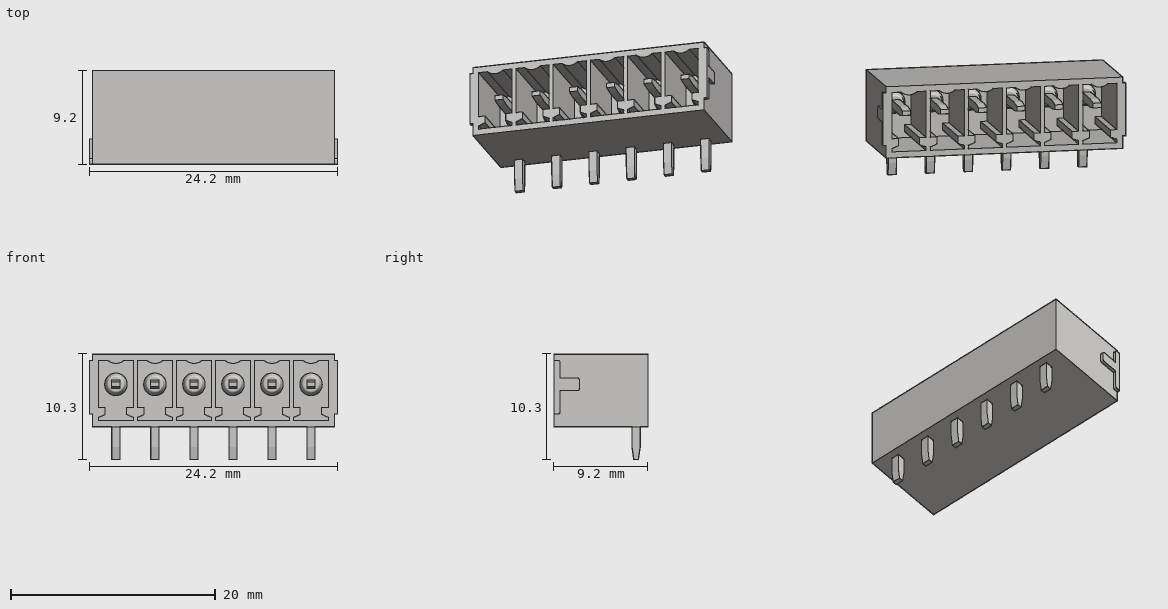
import cadquery as cq

CONTACTS = 6
PITCH = 3.81

BODY_WIDTH = 23.65
BODY_DEPTH = 9.2
BODY_HEIGHT = 7.1
AXIS_Z = BODY_HEIGHT - 2.95

WALL = 0.6
POCKET_WIDTH = 3.4
POCKET_DEPTH = 7.0
POCKET_TOP = BODY_HEIGHT - WALL
KEY_WIDTH = 1.6
KEY_DROP = 0.3
RIB_REACH = 0.65
RIB_TOP = 1.9
RIB_EDGE_BOTTOM = 1.2
RIB_ROOT_BOTTOM = 0.93

BOSS_BASE_RADIUS = 1.1
BOSS_SHOULDER_RADIUS = 0.87
BOSS_TOP_RADIUS = 0.67
BOSS_CONE_LENGTH = 0.6
BOSS_ROUNDING = BOSS_SHOULDER_RADIUS - BOSS_TOP_RADIUS
BOSS_LENGTH = BOSS_CONE_LENGTH + BOSS_ROUNDING

RAIL_THICKNESS = 0.3
RAIL_BAR_DEPTH = 0.6
RAIL_TOP = BODY_HEIGHT - 0.6
RAIL_BOTTOM = RAIL_TOP - 5.25
RAIL_ARM_LENGTH = 2.5
RAIL_ARM_HEIGHT = 1.25
RAIL_ROUNDING = 0.2

PIN_SIZE = 0.82
PIN_TIP_SIZE = 0.46
PIN_TAPER_LENGTH = 1.2
PIN_TIP_Y = 1.2
TAIL_Y = BODY_DEPTH - 1.17
TAIL_LENGTH = 3.2

contact_xs = [(i - (CONTACTS - 1) / 2) * PITCH for i in range(CONTACTS)]


def make_pin(x):
    """L-shaped pin: contact along Y, tail along -Z, both ends tapered on two sides."""
    half = PIN_SIZE / 2
    half_tip = PIN_TIP_SIZE / 2
    contact_taper_y = PIN_TIP_Y + PIN_TAPER_LENGTH
    tail_taper_z = PIN_TAPER_LENGTH - TAIL_LENGTH
    return (
        cq.Workplane("YZ", origin=(x - half, 0, 0))
        .moveTo(PIN_TIP_Y, AXIS_Z + half_tip)
        .lineTo(contact_taper_y, AXIS_Z + half)
        .lineTo(TAIL_Y + half, AXIS_Z + half)
        .lineTo(TAIL_Y + half, tail_taper_z)
        .lineTo(TAIL_Y + half_tip, -TAIL_LENGTH)
        .lineTo(TAIL_Y - half_tip, -TAIL_LENGTH)
        .lineTo(TAIL_Y - half, tail_taper_z)
        .lineTo(TAIL_Y - half, AXIS_Z - half)
        .lineTo(contact_taper_y, AXIS_Z - half)
        .lineTo(PIN_TIP_Y, AXIS_Z - half_tip)
        .close()
        .extrude(PIN_SIZE)
    )


def make_pocket(x):
    """Pocket volume: rounded key at the top, a rib along each side near the floor."""
    side = POCKET_WIDTH / 2
    rib_edge = side - RIB_REACH
    half_key = KEY_WIDTH / 2
    return (
        cq.Workplane("XZ", origin=(x, 0, 0))
        .moveTo(-side, WALL)
        .lineTo(side, WALL)
        .lineTo(side, RIB_ROOT_BOTTOM)
        .lineTo(rib_edge, RIB_EDGE_BOTTOM)
        .lineTo(rib_edge, RIB_TOP)
        .lineTo(side, RIB_TOP)
        .lineTo(side, POCKET_TOP)
        .lineTo(half_key, POCKET_TOP)
        .threePointArc((0, POCKET_TOP - KEY_DROP), (-half_key, POCKET_TOP))
        .lineTo(-side, POCKET_TOP)
        .lineTo(-side, RIB_TOP)
        .lineTo(-rib_edge, RIB_TOP)
        .lineTo(-rib_edge, RIB_EDGE_BOTTOM)
        .lineTo(-side, RIB_ROOT_BOTTOM)
        .close()
        .extrude(-POCKET_DEPTH)
    )


def make_boss(x):
    """Cone with a rounded shoulder, standing forward from the pocket floor."""
    return (
        cq.Workplane("XY", origin=(x, POCKET_DEPTH, AXIS_Z))
        .lineTo(BOSS_BASE_RADIUS, 0)
        .lineTo(BOSS_SHOULDER_RADIUS, -BOSS_CONE_LENGTH)
        .radiusArc((BOSS_TOP_RADIUS, -BOSS_LENGTH), BOSS_ROUNDING)
        .lineTo(0, -BOSS_LENGTH)
        .close()
        .revolve(360, (0, 0, 0), (0, 1, 0))
    )


def make_rail(x):
    """T-shaped rail starting at x: upright bar along the front edge and an arm to the rear."""
    bar = (
        cq.Workplane("XY")
        .box(RAIL_THICKNESS, RAIL_BAR_DEPTH, RAIL_TOP - RAIL_BOTTOM, centered=False)
        .edges("|X and >Y")
        .fillet(RAIL_ROUNDING)
        .translate((x, 0, RAIL_BOTTOM))
    )
    arm = (
        cq.Workplane("XY")
        .box(RAIL_THICKNESS, RAIL_ARM_LENGTH, RAIL_ARM_HEIGHT, centered=False)
        .edges("|X and >Y")
        .fillet(RAIL_ROUNDING)
        .translate((x, 0, AXIS_Z - RAIL_ARM_HEIGHT / 2))
    )
    return bar.union(arm)


def make_housing(pins):
    """Block with rails, pockets, bosses and a matching passage for every pin."""
    housing = cq.Workplane("XY").box(BODY_WIDTH, BODY_DEPTH, BODY_HEIGHT, centered=(True, False, False))
    for rail_x in (-BODY_WIDTH / 2 - RAIL_THICKNESS, BODY_WIDTH / 2):
        housing = housing.union(make_rail(rail_x))
    for x, pin in zip(contact_xs, pins):
        housing = housing.cut(make_pocket(x)).union(make_boss(x)).cut(pin)
    return housing


pins = [make_pin(x) for x in contact_xs]
housing = make_housing(pins)

result = cq.Compound.makeCompound([housing.val(), *[pin.val() for pin in pins]])